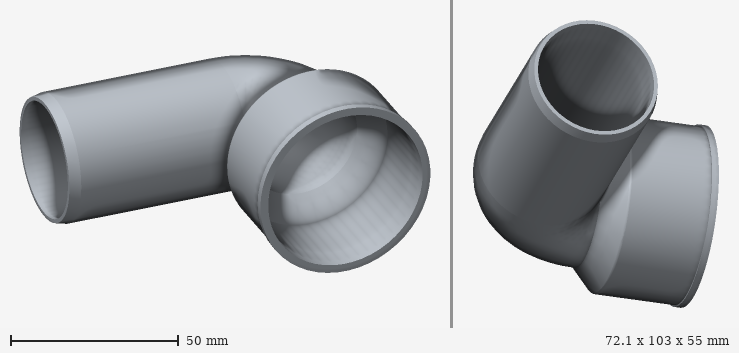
import cadquery as cq
import math

total_length = 103.0
total_width = 72.1
pipe_diameter = 40.1
pipe_bore = 36.0
socket_diameter = 54.0
socket_bore = 50.0
collar_diameter = 55.0

spigot_end = total_length - collar_diameter / 2
lead_in_length = 3.5
lead_in_diameter = 38.4

bend_radius = 18.0

socket_end = total_width - pipe_diameter / 2
collar_width = 2.2
collar_start = socket_end - collar_width
shoulder_radius = 0.9
corner_radius = 0.5
cone_end = bend_radius + (socket_diameter - pipe_diameter) / 2
cone_apex = bend_radius - pipe_diameter / 2


def straight_pipe(diameter, start_y):
    """Solid cylinder along Y from start_y to the open end of the spigot."""
    return (
        cq.Workplane("XZ", origin=(0, start_y, 0))
        .circle(diameter / 2)
        .extrude(spigot_end + start_y)
    )


def quarter_bend(diameter):
    """Quarter torus, its tube cut off where it would cross the turning axis."""
    radius = diameter / 2
    section = cq.Workplane(cq.Plane((bend_radius, 0, 0), xDir=(0, -1, 0), normal=(1, 0, 0)))
    if radius > bend_radius:
        half_chord = math.sqrt(radius**2 - bend_radius**2)
        section = (
            section.moveTo(bend_radius, -half_chord)
            .threePointArc((-radius, 0), (bend_radius, half_chord))
            .close()
        )
    else:
        section = section.circle(radius)
    return section.revolve(90, (bend_radius, 0, 0), (bend_radius, -1, 0))


def turned_about_x(profile):
    """Solid of revolution about X from (x, diameter) pairs."""
    outline = [(x, diameter / 2) for x, diameter in profile]
    outline.append((profile[-1][0], 0))
    if profile[0][1] > 0:
        outline.append((profile[0][0], 0))
    return cq.Workplane("XY").polyline(outline).close().revolve(360, (0, 0, 0), (1, 0, 0))


def edges_between(solid, x_min, x_max):
    """Edges lying wholly between two X positions and within the socket diameter."""
    reach = collar_diameter / 2
    region = cq.selectors.BoxSelector(
        (x_min, -reach, -reach), (x_max, reach, reach), boundingbox=True
    )
    return solid.edges(region)


socket = turned_about_x([
    (cone_apex, 0),
    (cone_end, socket_diameter),
    (collar_start, socket_diameter),
    (collar_start, collar_diameter),
    (socket_end, collar_diameter),
])
shoulder = edges_between(socket, cone_end - shoulder_radius, cone_end + shoulder_radius)
socket = shoulder.fillet(shoulder_radius)

through_pipe = (
    straight_pipe(pipe_diameter, socket_diameter)
    .faces("<Y")
    .chamfer(lead_in_length, (pipe_diameter - lead_in_diameter) / 2)
)
joined = through_pipe.union(socket)
joined = edges_between(joined, 0, cone_end - shoulder_radius).fillet(corner_radius)

bend_side = (
    cq.Workplane("XY")
    .box(2 * total_width, total_length, total_width, centered=(True, False, True))
    .translate((0, -bend_radius, 0))
)
spigot_half = joined.cut(bend_side)

socket_half = socket.intersect(bend_side.translate((bend_radius + total_width, 0, 0)))
body = spigot_half.union(socket_half.union(quarter_bend(pipe_diameter)))

socket_hollow = turned_about_x([
    (bend_radius, pipe_bore),
    (cone_end, socket_bore),
    (socket_end, socket_bore),
])
result = (
    body.cut(straight_pipe(pipe_bore, -bend_radius))
    .cut(quarter_bend(pipe_bore))
    .cut(socket_hollow)
)